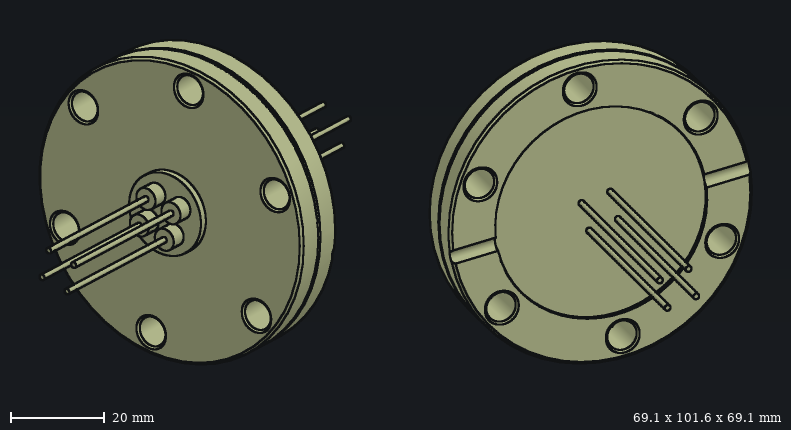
import cadquery as cq

flange_diameter = 69.1
flange_thickness = 12.9
rim_chamfer = 0.6

groove_width = 0.8
groove_center = 6.4

bolt_count = 6
bolt_circle_diameter = 58.7
bolt_start_angle = 20.4
bolt_hole_diameter = 6.7
bolt_hole_chamfer = 0.5

recess_diameter = 48.3
recess_depth = 1.0
leak_groove_diameter = 3.5
leak_groove_depth = 1.0
leak_groove_angle = bolt_start_angle - 180 / bolt_count

boss_diameter = 18.8
boss_height = 1.8

pin_count = 4
pin_circle_diameter = 9.5
pin_start_angle = 30.0
pin_diameter = 1.3
pin_length = 101.6
pin_front_reach = 41.5
tube_diameter = 5.0
tube_length = 3.7


def cylinder(diameter, start, length):
    """Cylinder on the Y axis that runs from y = start toward +Y."""
    return cq.Workplane("XZ", origin=(0, start, 0)).circle(diameter / 2).extrude(-length)


def ring_of_cylinders(ring_diameter, first_angle, count, diameter, start, length):
    """Equally spaced cylinders parallel to Y, with centres on a circle around the Y axis."""
    return (
        cq.Workplane("XZ", origin=(0, start, 0))
        .polarArray(ring_diameter / 2, first_angle, 360, count)
        .circle(diameter / 2)
        .extrude(-length)
    )


def rim_groove():
    """Half-round ring that is cut from the rim."""
    radius = flange_diameter / 2
    return (
        cq.Workplane("XY")
        .moveTo(radius, groove_center)
        .circle(groove_width / 2)
        .revolve(360, (0, 0, 0), (0, 1, 0))
    )


def back_recess():
    """Gasket recess together with its radial leak-check grooves."""
    floor = flange_thickness - recess_depth
    recess = cylinder(recess_diameter, floor, recess_depth)
    groove_start = recess_diameter / 2 - leak_groove_diameter
    groove_axis = flange_thickness - leak_groove_depth + leak_groove_diameter / 2
    for angle in (leak_groove_angle, leak_groove_angle + 180):
        groove = (
            cq.Workplane("YZ", origin=(groove_start, groove_axis, 0))
            .circle(leak_groove_diameter / 2)
            .extrude(flange_diameter / 2)
            .rotate((0, 0, 0), (0, 1, 0), -angle)
        )
        recess = recess.union(groove)
    return recess


def flange():
    """Disc with chamfered rims, a rim groove, chamfered bolt holes and a recessed back."""
    disc = cylinder(flange_diameter, 0, flange_thickness).edges().chamfer(rim_chamfer)
    holes = ring_of_cylinders(
        bolt_circle_diameter, bolt_start_angle, bolt_count, bolt_hole_diameter, 0, flange_thickness
    )
    disc = disc.cut(holes)
    hole_rims = cq.selectors.RadiusNthSelector(0)
    disc = disc.edges("%CIRCLE").edges(hole_rims).chamfer(bolt_hole_chamfer)
    return disc.cut(rim_groove()).cut(back_recess())


tube_start = -boss_height - tube_length
boss = cylinder(boss_diameter, -boss_height, boss_height)
tubes = ring_of_cylinders(
    pin_circle_diameter, pin_start_angle, pin_count, tube_diameter, tube_start, tube_length
)
pins = ring_of_cylinders(
    pin_circle_diameter, pin_start_angle, pin_count, pin_diameter, -pin_front_reach, pin_length
)

result = flange().union(boss).union(tubes).union(pins)